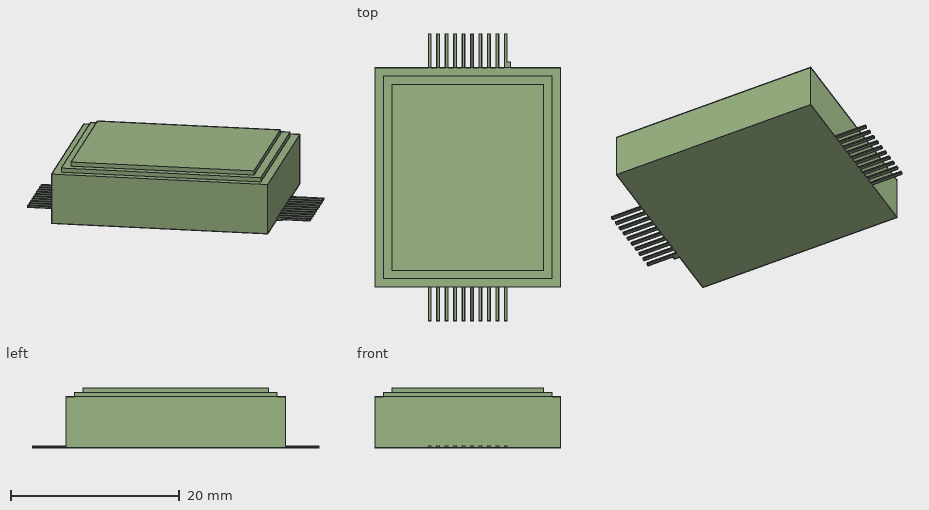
import cadquery as cq

overall_length = 34.0
overall_height = 7.1

body_width = 22.0
body_length = 26.0
top_plate_width = 18.0
step_height = 0.5
step_count = 2
step_inset = (body_width - top_plate_width) / (2 * step_count)
body_height = overall_height - step_count * step_height

leads_per_end = 10
lead_row_span = 9.0
lead_pitch = lead_row_span / (leads_per_end - 1)
lead_width = 0.35
lead_thickness = 0.2

tab_width = 0.4
tab_length = 0.68


def block(width, length, height, base=0.0):
    """Box centred on X and Y whose bottom lies at the given height."""
    return cq.Workplane("XY").workplane(offset=base).box(width, length, height, centered=(True, True, False))


def stepped_body():
    body = block(body_width, body_length, body_height)
    for step in range(step_count):
        reduction = 2 * step_inset * (step + 1)
        base = body_height + step * step_height
        body = body.union(block(body_width - reduction, body_length - reduction, step_height, base))
    return body


def lead_x(index):
    """X position of the centre line of a lead, counted from -X."""
    return index * lead_pitch - lead_row_span / 2


def lead_pair(index):
    """Strip running through the body that forms one lead on each end."""
    return block(lead_width, overall_length, lead_thickness).translate((lead_x(index), 0, 0))


def index_tab():
    last_lead_side = lead_x(leads_per_end - 1) + lead_width / 2
    tab = cq.Workplane("XY").box(tab_width, tab_length, lead_thickness, centered=False)
    return tab.translate((last_lead_side, body_length / 2, 0))


result = stepped_body()
for lead_index in range(leads_per_end):
    result = result.union(lead_pair(lead_index))
result = result.union(index_tab())